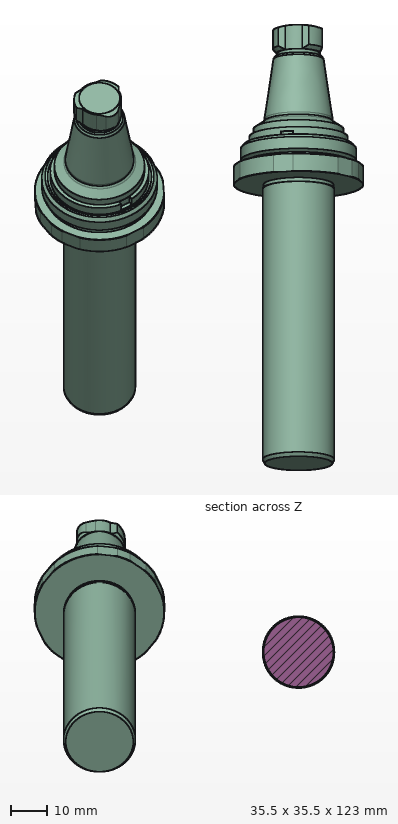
import cadquery as cq
import math

total_height = 123.0
flat_distance = 35.5 / 2
flat_width = 5.5
flange_radius = math.hypot(flat_distance, flat_width / 2)
flange_bottom = 78.8
flange_top = 83.9
flange_chamfer = 0.1
flat_angles = (0, 60, 90, 120, 180, 240, 270, 300)

shank_radius = 10.0
shank_chamfer_radial = 0.6
shank_chamfer_height = 1.1
relief_radius = 9.7
relief_height = 1.1

groove_bottom_radius = 15.3
groove_radius = 14.9
collar_radius = 16.0
collar_top_radius = 30.1 / 2
groove_top = 85.0
collar_edge_bottom = 85.7
collar_edge_top = 89.0
collar_top = 90.0
rim_inner_radius = 14.4
rim_depth = 0.4

lower_step_radius = 13.7
lower_step_top = 92.4
upper_step_radius = 25.0 / 2
upper_step_top = 94.6

ledge_radius = 10.0
ledge_height = 96.3
taper_base_radius = 9.5
taper_base = 96.8
taper_start = 97.5
taper_top_radius = 7.0
taper_top = 114.3
shoulder_radius = 6.5
shoulder_top = 115.0

neck_radius = 5.8
core_radius = 6.0
head_radius = 14.1 / 2
head_top_radius = 5.7
head_bottom = 116.1
head_chamfer_height = 0.5
head_undercut_height = 1.1
sharp_lobe_angles = (120, 240)
lobe_tip_half_angle = 22.4
lobe_root_half_angle = 36.7
round_lobe_radius = 3.1

notch_width = 3.5
window_height = 1.2
window_depth = 0.6


def polar(radius, angle):
    turn = math.radians(angle)
    return radius * math.cos(turn), radius * math.sin(turn)


def revolve_profile(points):
    """Revolve (radius, height) points about the Z axis."""
    return cq.Workplane("XZ").polyline(points).close().revolve(360, (0, 0), (0, 1))


def make_body():
    relief_bottom = flange_bottom - relief_height
    return revolve_profile([
        (0, 0),
        (shank_radius - shank_chamfer_radial, 0),
        (shank_radius, shank_chamfer_height),
        (shank_radius, relief_bottom),
        (relief_radius, relief_bottom),
        (relief_radius, flange_bottom),
        (flange_radius - flange_chamfer, flange_bottom),
        (flange_radius, flange_bottom + flange_chamfer),
        (flange_radius, flange_top - flange_chamfer),
        (flange_radius - flange_chamfer, flange_top),
        (groove_bottom_radius, flange_top),
        (groove_radius, groove_top),
        (collar_radius, collar_edge_bottom),
        (collar_radius, collar_edge_top),
        (collar_top_radius, collar_top),
        (rim_inner_radius, collar_top),
        (rim_inner_radius, collar_top - rim_depth),
        (lower_step_radius, collar_top - rim_depth),
        (lower_step_radius, lower_step_top),
        (upper_step_radius, lower_step_top),
        (upper_step_radius, upper_step_top),
        (ledge_radius, ledge_height),
        (taper_base_radius, taper_base),
        (taper_base_radius, taper_start),
        (taper_top_radius, taper_top),
        (shoulder_radius, shoulder_top),
        (neck_radius, shoulder_top),
        (neck_radius, head_bottom),
        (0, head_bottom),
    ])


def make_round_lobe(height):
    """Rounded lobe toward +X whose sides run tangent into the head core."""
    lobe_center = head_radius - round_lobe_radius
    tangent_angle = math.degrees(math.acos((core_radius - round_lobe_radius) / lobe_center))
    root_x, root_y = polar(core_radius, tangent_angle)
    offset_x, side_y = polar(round_lobe_radius, tangent_angle)
    side_x = lobe_center + offset_x
    return (
        cq.Workplane("XY")
        .workplane(offset=head_bottom)
        .lineTo(root_x, -root_y)
        .lineTo(side_x, -side_y)
        .threePointArc((head_radius, 0), (side_x, side_y))
        .lineTo(root_x, root_y)
        .close()
        .extrude(height)
    )


def make_head():
    """Bayonet head with two sharp lobes and a round one, trimmed to a chamfered outline."""
    height = total_height - head_bottom
    outline = cq.Workplane("XY").workplane(offset=head_bottom).circle(core_radius).extrude(height)
    for angle in sharp_lobe_angles:
        lobe = (
            cq.Workplane("XY")
            .workplane(offset=head_bottom)
            .lineTo(*polar(core_radius, angle - lobe_root_half_angle))
            .lineTo(*polar(head_radius, angle - lobe_tip_half_angle))
            .threePointArc(
                polar(head_radius, angle),
                polar(head_radius, angle + lobe_tip_half_angle),
            )
            .lineTo(*polar(core_radius, angle + lobe_root_half_angle))
            .close()
            .extrude(height)
        )
        outline = outline.union(lobe)
    outline = outline.union(make_round_lobe(height))
    envelope = revolve_profile([
        (0, head_bottom),
        (core_radius, head_bottom),
        (head_radius, head_bottom + head_undercut_height),
        (head_radius, total_height - head_chamfer_height),
        (head_top_radius, total_height),
        (0, total_height),
    ])
    return outline.intersect(envelope)


def make_flange_flats():
    """Blocks that trim the flange rim to flats of the given width."""
    block = (
        cq.Workplane("XY")
        .box(flange_radius, 2 * flat_width, flange_top - flange_bottom, centered=(False, True, False))
        .translate((flat_distance, 0, flange_bottom))
    )
    blocks = cq.Workplane("XY")
    for angle in flat_angles:
        blocks = blocks.add(block.rotate((0, 0, 0), (0, 0, 1), angle))
    return blocks.combine()


def make_key_notch():
    """Notch through the rim of the lower step on the +X side."""
    return (
        cq.Workplane("XY")
        .box(
            lower_step_radius - upper_step_radius,
            notch_width,
            lower_step_top - collar_top,
            centered=(False, True, False),
        )
        .translate((upper_step_radius, 0, collar_top))
    )


def make_window():
    """Shallow window at the foot of the lower step on the -X side."""
    return (
        cq.Workplane("XY")
        .box(window_depth, notch_width, window_height, centered=(False, True, False))
        .translate((-lower_step_radius, 0, collar_top))
    )


result = (
    make_body()
    .union(make_head())
    .cut(make_flange_flats())
    .cut(make_key_notch())
    .cut(make_window())
)